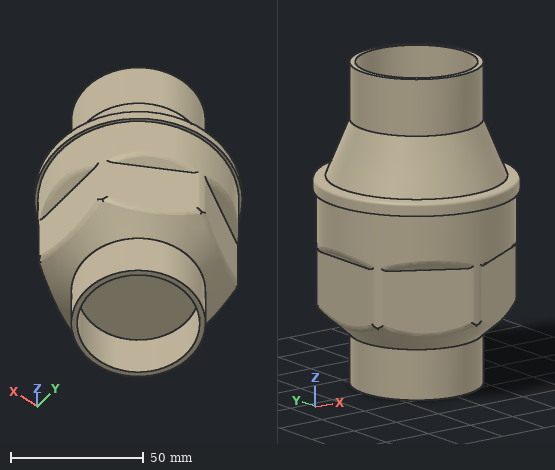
import cadquery as cq
import math

TOTAL_HEIGHT = 125.9
LOWER_STUB_HEIGHT = 19.9
TAPER_TOP = 30.8
FLAT_TOP = 53.4
COLLAR_BOTTOM = 76.0
COLLAR_TOP = 81.3
CONE_TOP = 103.6

STUB_OUTER_DIAMETER = 50.7
STUB_BORE_DIAMETER = 46.3
BODY_DIAMETER = 76.0
COLLAR_DIAMETER = 78.5
CONE_BASE_DIAMETER = 69.0

FLAT_COUNT = 6
SEAM_ANGLE = 180.0
ACROSS_FLATS = 67.5
FLAT_EDGE_RADIUS = 3.0
SLOPE_ANGLE = 38.0
COLLAR_EDGE_RADIUS = 1.5
CUTTER_CLEARANCE = 3.8
EDGE_TOLERANCE = 0.01

STUB_RADIUS = STUB_OUTER_DIAMETER / 2
BODY_RADIUS = BODY_DIAMETER / 2
FLAT_DISTANCE = ACROSS_FLATS / 2
SLOPE_GRADIENT = math.tan(math.radians(SLOPE_ANGLE))


def make_barrel():
    """Solid cylinder that tapers down to the lower pipe stub."""
    return (
        cq.Workplane("XZ")
        .moveTo(0, LOWER_STUB_HEIGHT)
        .lineTo(STUB_RADIUS, LOWER_STUB_HEIGHT)
        .lineTo(BODY_RADIUS, TAPER_TOP)
        .lineTo(BODY_RADIUS, COLLAR_BOTTOM)
        .lineTo(0, COLLAR_BOTTOM)
        .close()
        .revolve(360, (0, 0), (0, 1))
        .rotate((0, 0, 0), (0, 0, 1), SEAM_ANGLE)
    )


def make_flat_cutter():
    """Block that leaves one flat, with an outward slope above it."""
    outside = BODY_RADIUS + CUTTER_CLEARANCE
    slope_rise = (outside - FLAT_DISTANCE) * SLOPE_GRADIENT
    return (
        cq.Workplane("XZ")
        .moveTo(FLAT_DISTANCE, LOWER_STUB_HEIGHT)
        .lineTo(FLAT_DISTANCE, FLAT_TOP)
        .lineTo(outside, FLAT_TOP + slope_rise)
        .lineTo(outside, LOWER_STUB_HEIGHT)
        .close()
        .extrude(BODY_RADIUS, both=True)
    )


def is_flat_outline(edge):
    """True for an edge where the flat facing +X, or its slope, meets the round barrel."""
    distances = []
    for fraction in (0, 0.5, 1):
        point = edge.positionAt(fraction)
        slope_distance = FLAT_DISTANCE + max(0, point.z - FLAT_TOP) / SLOPE_GRADIENT
        distances.append(abs(point.x - slope_distance))
    on_cut = max(distances) < EDGE_TOLERANCE
    is_slope_root = edge.geomType() == "LINE" and abs(edge.Center().z - FLAT_TOP) < EDGE_TOLERANCE
    return on_cut and not is_slope_root


def is_lower_arc(edge):
    """True for the curve where the flat meets the lower taper."""
    return edge.geomType() != "LINE" and edge.Center().z < TAPER_TOP


def make_single_flat_barrel():
    """Barrel with one flat facing +X and its rounded outline.

    The lower arc is rounded on its own copy of the barrel. The common part of
    both copies gives a clean mitre where the blends meet at the lower corners.
    """
    barrel = make_barrel().cut(make_flat_cutter())
    outline = [edge for edge in barrel.edges().vals() if is_flat_outline(edge)]
    lower_arc = [edge for edge in outline if is_lower_arc(edge)]
    sides_and_top = [edge for edge in outline if not is_lower_arc(edge)]
    rounded_below = barrel.newObject(lower_arc).fillet(FLAT_EDGE_RADIUS)
    rounded_above = barrel.newObject(sides_and_top).fillet(FLAT_EDGE_RADIUS)
    return rounded_above.intersect(rounded_below)


def make_flatted_barrel():
    """Barrel with the full ring of flats, as the common part of turned copies."""
    single = make_single_flat_barrel()
    barrel = single
    for index in range(1, FLAT_COUNT):
        angle = index * 360 / FLAT_COUNT
        barrel = barrel.intersect(single.rotate((0, 0, 0), (0, 0, 1), angle))
    return barrel


def make_collar():
    """Round collar with a rounded upper edge."""
    return (
        cq.Workplane("XY", origin=(0, 0, COLLAR_BOTTOM))
        .circle(COLLAR_DIAMETER / 2)
        .extrude(COLLAR_TOP - COLLAR_BOTTOM)
        .faces(">Z").edges()
        .fillet(COLLAR_EDGE_RADIUS)
    )


def make_cone():
    """Cone between the collar and the upper pipe stub."""
    return cq.Workplane(cq.Solid.makeCone(
        CONE_BASE_DIAMETER / 2,
        STUB_RADIUS,
        CONE_TOP - COLLAR_TOP,
        pnt=cq.Vector(0, 0, COLLAR_TOP),
    ))


def make_valve_body():
    """Closed valve body: flatted barrel, collar and cone."""
    return make_flatted_barrel().union(make_collar()).union(make_cone())


def make_pipe_stub(bottom, top):
    """Open pipe stub between two levels."""
    return (
        cq.Workplane("XY", origin=(0, 0, bottom))
        .circle(STUB_RADIUS)
        .circle(STUB_BORE_DIAMETER / 2)
        .extrude(top - bottom)
    )


valve_body = make_valve_body()

stub_levels = [(0, LOWER_STUB_HEIGHT), (CONE_TOP, TOTAL_HEIGHT)]
pipe_stubs = [make_pipe_stub(bottom, top) for bottom, top in stub_levels]

result = cq.Compound.makeCompound([valve_body.val(), *[stub.val() for stub in pipe_stubs]])